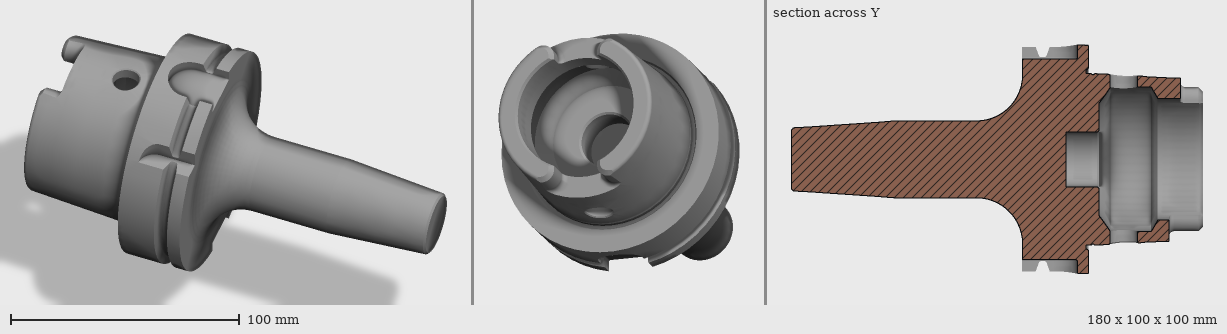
import cadquery as cq
import math

total_length = 180.0
taper_end = 47.3
relief_end = 49.0
flange_start = 50.0
flange_end = 79.0
cone_start = 135.0

taper_end_radius = 37.6
taper_slope = 0.05
taper_face_radius = taper_end_radius - taper_slope * taper_end
relief_depth = 0.5
face_edge_round = 1.8
slot_edge_chamfer = 2.0

flange_radius = 50.0
groove_centre = 70.0
groove_width = 6.1
groove_floor_width = 2.9
groove_floor_radius = 45.7
groove_round = 0.9
recess_radius = 39.8
recess_floor_radius = 39.0
recess_depth = 1.0

neck_radius = 17.0
neck_fillet = 20.0
nose_radius = 13.9
nose_chamfer = 0.9

mouth_radius = 26.5
mouth_chamfer = 0.9
mouth_chamfer_length = 1.5
mouth_depth = 19.8
chamber_radius = 31.5
chamber_start = mouth_depth + (chamber_radius - mouth_radius) / math.tan(math.radians(60))
chamber_end = 40.5
bore_depth = 45.4
bore_floor_radius = 24.7
thread_radius = 11.9
thread_chamfer = 0.9
thread_depth = 14.4

cross_hole_x = 34.7
cross_hole_radius = 6.0
cross_hole_chamfer = 0.5

drive_slot_half_width = 9.9
drive_slot_flare = 5.4
drive_slot_ledge = 31.5
drive_slot_depth_top = 9.9
drive_slot_depth_bottom = 14.8
drive_slot_floor_round = 2.2

keyway_width = 20.0
keyway_end = 55.0
keyway_round = 0.5
keyway_floor = 44.0
notch_floor = 31.7
notch_wall = 31.5
notch_end = 55.5
notch_corner = 7.5

edge_margin = 0.2


def make_outer_body():
    """Taper, flange, neck and nose turned about the X axis."""
    arc_shift = neck_fillet * (1 - math.sqrt(0.5))
    half_top = groove_width / 2
    half_floor = groove_floor_width / 2
    relief_middle = (taper_end + relief_end) / 2
    profile = (
        cq.Workplane("XY")
        .moveTo(0, 0)
        .lineTo(0, taper_face_radius)
        .lineTo(taper_end, taper_end_radius)
        .lineTo(relief_middle, taper_end_radius - relief_depth)
        .lineTo(relief_end, taper_end_radius)
        .lineTo(flange_start + recess_depth, taper_end_radius)
        .lineTo(flange_start + recess_depth, recess_floor_radius)
        .lineTo(flange_start, recess_radius)
        .lineTo(flange_start, flange_radius)
        .lineTo(groove_centre - half_top, flange_radius)
        .lineTo(groove_centre - half_floor, groove_floor_radius)
        .lineTo(groove_centre + half_floor, groove_floor_radius)
        .lineTo(groove_centre + half_top, flange_radius)
        .lineTo(flange_end, flange_radius)
        .lineTo(flange_end, neck_radius + neck_fillet)
        .threePointArc(
            (flange_end + arc_shift, neck_radius + arc_shift),
            (flange_end + neck_fillet, neck_radius),
        )
        .lineTo(cone_start, neck_radius)
        .lineTo(total_length, nose_radius)
        .lineTo(total_length, 0)
        .close()
    )
    body = profile.revolve(360, (0, 0, 0), (1, 0, 0))
    groove_floor_edges = cq.selectors.BoxSelector(
        (groove_centre - half_floor - edge_margin, -flange_radius, -flange_radius),
        (groove_centre + half_floor + edge_margin, flange_radius, flange_radius),
    )
    body = body.edges(groove_floor_edges).fillet(groove_round)
    return body.faces(">X").edges().chamfer(nose_chamfer)


def make_bore():
    """Clamping bore and the blind threaded hole behind it."""
    thread_end = bore_depth + thread_depth
    return (
        cq.Workplane("XY")
        .moveTo(0, 0)
        .lineTo(0, mouth_radius + mouth_chamfer)
        .lineTo(mouth_chamfer_length, mouth_radius)
        .lineTo(mouth_depth, mouth_radius)
        .lineTo(chamber_start, chamber_radius)
        .lineTo(chamber_end, chamber_radius)
        .lineTo(bore_depth, bore_floor_radius)
        .lineTo(bore_depth, thread_radius + thread_chamfer)
        .lineTo(bore_depth + thread_chamfer, thread_radius)
        .lineTo(thread_end, thread_radius)
        .lineTo(thread_end, 0)
        .close()
        .revolve(360, (0, 0, 0), (1, 0, 0))
    )


def make_drive_slot(depth):
    """Slot on the +Z side whose walls flare outwards along an arc onto a flat ledge."""
    outer = flange_radius
    flare_start = drive_slot_ledge - drive_slot_flare
    flare_end = drive_slot_half_width + drive_slot_flare
    arc_shift = drive_slot_flare * math.sqrt(0.5)
    arc_y = flare_end - arc_shift
    arc_z = flare_start + arc_shift
    slot = (
        cq.Workplane("YZ")
        .moveTo(-drive_slot_half_width, 0)
        .lineTo(drive_slot_half_width, 0)
        .lineTo(drive_slot_half_width, flare_start)
        .threePointArc((arc_y, arc_z), (flare_end, drive_slot_ledge))
        .lineTo(outer, drive_slot_ledge)
        .lineTo(outer, outer)
        .lineTo(-outer, outer)
        .lineTo(-outer, drive_slot_ledge)
        .lineTo(-flare_end, drive_slot_ledge)
        .threePointArc((-arc_y, arc_z), (-drive_slot_half_width, flare_start))
        .close()
        .extrude(depth)
    )
    wall_edges = cq.selectors.BoxSelector(
        (depth - edge_margin, -outer + edge_margin, edge_margin),
        (depth + edge_margin, outer - edge_margin, drive_slot_ledge + edge_margin),
    )
    return slot.edges(wall_edges).fillet(drive_slot_floor_round)


def make_keyway():
    """Round-ended keyway on the +Z side, open towards the nose."""
    radius = keyway_width / 2
    centre_x = keyway_end + radius
    return (
        cq.Workplane("XY", origin=(0, 0, keyway_floor))
        .moveTo(flange_end, -radius)
        .lineTo(centre_x, -radius)
        .threePointArc((keyway_end, 0), (centre_x, radius))
        .lineTo(flange_end, radius)
        .close()
        .extrude(flange_radius - keyway_floor)
        .edges("<Z and (not >X)")
        .fillet(keyway_round)
    )


def make_notch():
    """Orientation notch between -Y and +Z with one rounded inner corner."""
    return (
        cq.Workplane("XY", origin=(0, 0, notch_floor))
        .moveTo(flange_end, -notch_wall)
        .lineTo(notch_end + notch_corner, -notch_wall)
        .radiusArc((notch_end, -notch_wall - notch_corner), -notch_corner)
        .lineTo(notch_end, -flange_radius)
        .lineTo(flange_end, -flange_radius)
        .close()
        .extrude(flange_radius - notch_floor)
    )


def opposite(tool):
    """The same tool turned half a revolution about the X axis."""
    return tool.rotate((0, 0, 0), (1, 0, 0), 180)


def finish_open_end(body):
    """Chamfer the open end along the drive slots and round it along the taper."""
    slot_reach = math.sqrt(taper_face_radius**2 - drive_slot_ledge**2) + slot_edge_chamfer
    slot_zone = cq.selectors.BoxSelector(
        (-edge_margin, -slot_reach, -flange_radius),
        (edge_margin, slot_reach, flange_radius),
    )
    body = body.faces("<X").edges(slot_zone).chamfer(slot_edge_chamfer)
    taper_zone = cq.selectors.InverseSelector(slot_zone)
    return body.faces("<X").edges(taper_zone).fillet(face_edge_round)


def cut_cross_hole(body):
    """Radial hole through both taper walls with chamfered outer rims."""
    drill = (
        cq.Workplane("XY")
        .center(cross_hole_x, 0)
        .circle(cross_hole_radius)
        .extrude(flange_radius, both=True)
    )
    body = body.cut(drill)
    taper_radius = taper_face_radius + taper_slope * cross_hole_x
    mid_wall = (chamber_radius + taper_radius) / 2
    for wall_start, wall_end in ((mid_wall, flange_radius), (-flange_radius, -mid_wall)):
        rim_zone = cq.selectors.BoxSelector(
            (cross_hole_x - edge_margin, -edge_margin, wall_start),
            (cross_hole_x + edge_margin, edge_margin, wall_end),
        )
        body = body.edges(rim_zone).chamfer(cross_hole_chamfer)
    return body


body = make_outer_body()
body = body.cut(make_drive_slot(drive_slot_depth_top))
body = body.cut(opposite(make_drive_slot(drive_slot_depth_bottom)))
body = finish_open_end(body)
body = body.cut(make_bore())
body = body.cut(make_keyway())
body = body.cut(opposite(make_keyway()))
body = body.cut(make_notch())
result = cut_cross_hole(body)